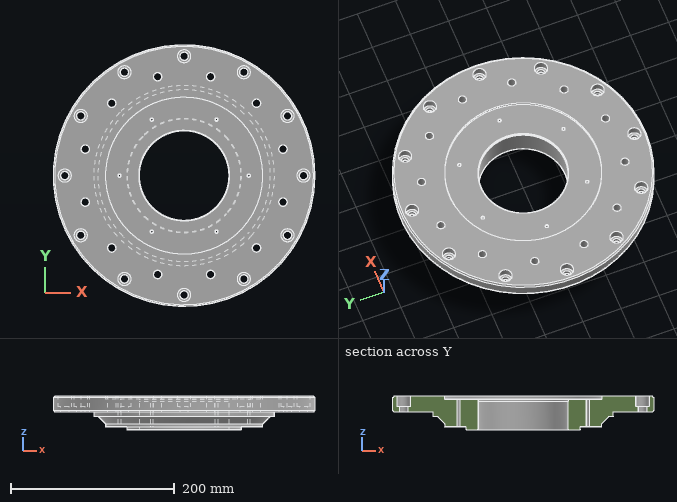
import cadquery as cq
import math

plate_diameter = 320.0
plate_thickness = 19.8
plate_chamfer = 2.0

shoulder_diameter = 220.7
shoulder_height = 5.5
cone_height = 9.3
ring_diameter = 192.0
ring_height = 3.2
cone_top_diameter = ring_diameter + 2 * cone_height
spigot_diameter = 140.0
spigot_chamfer = 0.8
spigot_height = 4.0

recess_diameter = ring_diameter
recess_depth = 3.8
bore_diameter = 109.5
bore_lip_diameter = 109.7
bore_lip_chamfer = 0.5
bore_lip_depth = 3.0

outer_hole_count = 12
outer_circle_radius = 146.0
outer_hole_diameter = 10.0
counterbore_diameter = 16.0
counterbore_depth = 12.8

middle_hole_count = 12
middle_circle_radius = 125.0
middle_hole_diameter = 10.0
middle_start_angle = 180 / middle_hole_count

inner_hole_count = 6
inner_circle_radius = 79.0
inner_hole_diameter = 3.2
inner_countersink_depth = 0.48

plate_top = plate_thickness
recess_floor = plate_top - recess_depth
shoulder_bottom = -shoulder_height
cone_bottom = shoulder_bottom - cone_height
ring_bottom = cone_bottom - ring_height
spigot_bottom = ring_bottom - spigot_height
total_height = plate_top - spigot_bottom


def cylinder_down(diameter, top, depth):
    """Upright cylinder on the Z axis reaching down from the level `top`."""
    return cq.Workplane("XY").workplane(offset=top).circle(diameter / 2).extrude(-depth)


def hole_circle(count, circle_radius, start_angle, diameter, top, depth):
    """Equally spaced upright cylinders to cut, reaching down from the level `top`."""
    return (
        cq.Workplane("XY")
        .workplane(offset=top)
        .polarArray(circle_radius, start_angle, 360, count)
        .circle(diameter / 2)
        .extrude(-depth)
    )


def cone_down(large_diameter, top, depth):
    """45 degree cone frustum on the Z axis, narrowing downwards from the level `top`."""
    return (
        cq.Workplane("XY")
        .workplane(offset=top)
        .circle(large_diameter / 2)
        .workplane(offset=-depth)
        .circle(large_diameter / 2 - depth)
        .loft()
    )


def turned_body():
    """Chamfered plate with the stepped conical hub below it, still solid in the middle."""
    plate_radius = plate_diameter / 2
    half_profile = [
        (0, plate_top),
        (plate_radius - plate_chamfer, plate_top),
        (plate_radius, plate_top - plate_chamfer),
        (plate_radius, plate_chamfer),
        (plate_radius - plate_chamfer, 0),
        (shoulder_diameter / 2, 0),
        (shoulder_diameter / 2, shoulder_bottom),
        (cone_top_diameter / 2, shoulder_bottom),
        (ring_diameter / 2, cone_bottom),
        (ring_diameter / 2, ring_bottom),
        (spigot_diameter / 2, ring_bottom),
        (spigot_diameter / 2, spigot_bottom + spigot_chamfer),
        (spigot_diameter / 2 - spigot_chamfer, spigot_bottom),
        (0, spigot_bottom),
    ]
    return cq.Workplane("XZ").polyline(half_profile).close().revolve(360, (0, 0), (0, 1))


body = turned_body()

body = body.cut(cylinder_down(recess_diameter, plate_top, recess_depth))
body = body.cut(cylinder_down(bore_diameter, plate_top, total_height))
body = body.cut(cylinder_down(bore_lip_diameter, recess_floor, bore_lip_depth))
body = body.cut(cone_down(bore_lip_diameter + 2 * bore_lip_chamfer, recess_floor, bore_lip_chamfer))

body = body.cut(hole_circle(
    outer_hole_count, outer_circle_radius, 0, outer_hole_diameter, plate_top, plate_thickness
))
body = body.cut(hole_circle(
    outer_hole_count, outer_circle_radius, 0, counterbore_diameter, plate_top, counterbore_depth
))

body = body.cut(hole_circle(
    middle_hole_count, middle_circle_radius, middle_start_angle,
    middle_hole_diameter, plate_top, plate_thickness
))

body = body.cut(hole_circle(
    inner_hole_count, inner_circle_radius, 0, inner_hole_diameter, plate_top, total_height
))
countersink = cone_down(
    inner_hole_diameter + 2 * inner_countersink_depth, recess_floor, inner_countersink_depth
)
for index in range(inner_hole_count):
    angle = 2 * math.pi * index / inner_hole_count
    position = (inner_circle_radius * math.cos(angle), inner_circle_radius * math.sin(angle), 0)
    body = body.cut(countersink.translate(position))

result = body